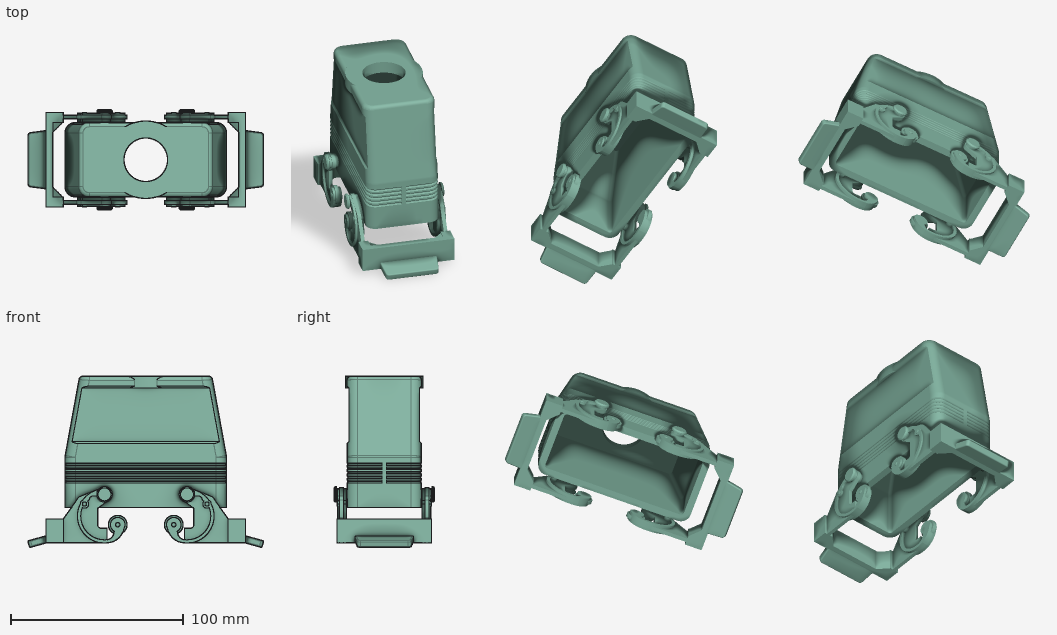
import cadquery as cq
import math

hood_half_length = 46.7
hood_top_half_length = 38.3
hood_half_width = 21.5
hood_height = 76.0
taper_start = 29.6
taper_blend_radius = 6.0
corner_radius = 6.0
top_edge_radius = 2.5
wall = 4.1
rim_height = 7.0
rim_bottom = hood_height - rim_height

entry_radius = 12.5
entry_boss_radius = 22.5

recess_bottom = 37.1
recess_depth = 1.1

groove_count = 5
groove_row_height = 10.1
groove_pitch = groove_row_height / (groove_count - 1)
groove_bottom = 14.3
groove_depth = 0.75
groove_bridge = 2.6

frame_outer = 57.8
frame_inner = 47.7
bar_thickness = 4.1
frame_half_width = 27.4
frame_inner_half_width = 21.7
frame_top = -6.5
frame_bottom = -20.5
gusset_size = 5.7
gusset_drop = 0.7

plate_inner = 23.6
plate_outer = 25.8
cheek_inner = 21.8
cheek_outer = 27.0
pin_x, pin_z = -23.9, 7.6
hook_x, hook_z = pin_x, -4.9
hook_radius = 15.7
hook_inner_radius = 13.8
plate_hub_radius = 4.1
cheek_hub_radius = 3.4
knob_x, knob_z = -16.2, -10.0
plate_knob_radius = 5.5
cheek_knob_radius = 4.2
hook_outer_end_angle = 288
hook_inner_start_angle = 277
hook_inner_end_angle = 152
hook_middle_angle = 200
knob_blend_angle = -30
tail_notch = (-18.4, -14.5)
tail_inner_bend = (-19.0, -16.2)
tail_outer_bend = (-15.3, -17.3)
lug_fillet_start = (-32.7, 4.5)
lug_fillet_bend = (-32.0, 6.0)
pin_shelf_z = 6.7
pin_shelf_start = -30.4

shoulder_start = (-40.0, 4.4)
shoulder_bend = (-39.0, 5.7)
shoulder_end = (-37.3, 6.7)
hub_shoulder_angle = 114
hub_slot_angle = -54
slot_x = -27.7
slot_mouth_z = -0.4
slot_floor = -11.9
slot_lip_x = -22.4
slot_corner_radius = 1.6

pin_radius = 2.6
pin_head_radius = 4.5
pin_head_start = 27.5
pin_head_end = 29.0
pin_head_bevel = 0.75
pin_root = hood_half_width - 1.4
rivet_x, rivet_z = -35.5, 2.0
rivet_radius = 1.3
rivet_end = 27.4
rivet_edge_radius = 0.34
rivet_lug_radius = 2.5

tab_top = -16.4
tab_angle = 15.5
tab_length = 10.9
tab_root_half_width = 17.2
tab_tip_half_width = 15.5
tab_thickness = 4.1
tab_corner_radius = 1.9
tab_edge_radius = 0.7
tab_embed = 2.0


def tapered_block(inset, height, radius):
    """Hood-shaped block, inset from the outer faces and with rounded corners."""
    slope = (hood_half_length - hood_top_half_length) / (hood_height - taper_start)
    base = hood_half_length - inset
    top = base - slope * (height - taper_start)
    half_width = hood_half_width - inset
    block = (
        cq.Workplane("XZ", origin=(0, half_width, 0))
        .polyline([
            (-base, 0),
            (base, 0),
            (base, taper_start),
            (top, height),
            (-top, height),
            (-base, taper_start),
        ])
        .close()
        .extrude(2 * half_width)
    )
    for side in (-1, 1):
        taper_edge = cq.selectors.NearestToPointSelector((side * base, 0, taper_start))
        block = block.edges(taper_edge).fillet(taper_blend_radius)
    return block.edges("not(|X or |Y)").fillet(radius)


def side_recess():
    """Slab with sloping ends that recesses the -Y broad side."""
    floor = -hood_half_width + recess_depth
    outside = -hood_half_width - recess_depth
    return (
        cq.Workplane("YZ", origin=(-hood_half_length, 0, 0))
        .polyline([
            (outside, recess_bottom - recess_depth),
            (floor, recess_bottom + recess_depth),
            (floor, rim_bottom),
            (outside, rim_bottom + 2 * recess_depth),
        ])
        .close()
        .extrude(2 * hood_half_length)
    )


def rounded_section(inset, z):
    """Rounded rectangular section of the hood at height z."""
    return (
        cq.Workplane("XY", origin=(0, 0, z))
        .sketch()
        .rect(2 * (hood_half_length - inset), 2 * (hood_half_width - inset))
        .vertices()
        .fillet(corner_radius - inset)
        .finalize()
    )


def groove(z):
    """Ring cutter for one V-groove with 45 degree flanks, its lower lip at height z."""
    margin = 1.4
    half_length = hood_half_length + margin
    half_width = hood_half_width + margin
    lower_lip = cq.Workplane("XY", origin=(0, 0, z))
    ring = lower_lip.rect(2 * half_length, 2 * half_width).extrude(2 * groove_depth)
    bridge = lower_lip.rect(2 * half_length, groove_bridge).extrude(2 * groove_depth)
    waist = rounded_section(groove_depth, z + groove_depth)
    lower_flank = waist.extrude(-groove_depth, taper=-45)
    upper_flank = waist.extrude(groove_depth, taper=-45)
    return ring.cut(lower_flank).cut(upper_flank).cut(bridge)


def make_hood():
    hood = tapered_block(0, hood_height, corner_radius)
    hood = hood.faces(">Z").edges().fillet(top_edge_radius)
    recess = side_recess()
    hood = hood.cut(recess).cut(recess.mirror("XZ"))
    boss = cq.Workplane("XY", origin=(0, 0, rim_bottom)).circle(entry_boss_radius).extrude(rim_height)
    hood = hood.union(boss)
    for index in range(groove_count):
        hood = hood.cut(groove(groove_bottom + index * groove_pitch))
    hood = hood.cut(tapered_block(wall, rim_bottom, corner_radius - wall))
    entry = cq.Workplane("XY", origin=(0, 0, rim_bottom)).circle(entry_radius).extrude(rim_height)
    return hood.cut(entry)


def side_plane(distance):
    """Sketch plane parallel to the -Y side, at the given distance from the centre."""
    return cq.Workplane("XZ", origin=(0, -distance, 0))


def disc(x, z, radius, start, end):
    return side_plane(start).center(x, z).circle(radius).extrude(end - start)


def polar(x, z, radius, degrees):
    angle = math.radians(degrees)
    return (x + radius * math.cos(angle), z + radius * math.sin(angle))


def hook(start, end, hub_radius, knob_radius):
    """Crescent from the pin hub round to the free knob at its tail."""
    crescent = (
        side_plane(start)
        .moveTo(*polar(hook_x, hook_z, hook_radius, 90))
        .threePointArc(
            polar(hook_x, hook_z, hook_radius, hook_middle_angle),
            polar(hook_x, hook_z, hook_radius, hook_outer_end_angle),
        )
        .threePointArc(tail_outer_bend, polar(knob_x, knob_z, cheek_knob_radius, knob_blend_angle))
        .lineTo(knob_x, knob_z)
        .lineTo(*tail_notch)
        .threePointArc(tail_inner_bend, polar(hook_x, hook_z, hook_inner_radius, hook_inner_start_angle))
        .threePointArc(
            polar(hook_x, hook_z, hook_inner_radius, hook_middle_angle),
            polar(hook_x, hook_z, hook_inner_radius, hook_inner_end_angle),
        )
        .lineTo(*lug_fillet_start)
        .threePointArc(lug_fillet_bend, (pin_shelf_start, pin_shelf_z))
        .lineTo(pin_x, pin_shelf_z)
        .close()
        .extrude(end - start)
    )
    hub = disc(pin_x, pin_z, hub_radius, start, end)
    knob = disc(knob_x, knob_z, knob_radius, start, end)
    return crescent.union(hub).union(knob)


def cheek(start, end):
    lug = disc(rivet_x, rivet_z, rivet_lug_radius, start, end)
    return hook(start, end, cheek_hub_radius, cheek_knob_radius).union(lug)


def side_plate():
    """Web that joins the frame to the pin, with the open slot for the locking peg."""
    web = (
        side_plane(plate_inner)
        .moveTo(-frame_inner, frame_bottom)
        .lineTo(-frame_inner, frame_top)
        .lineTo(*shoulder_start)
        .threePointArc(shoulder_bend, shoulder_end)
        .lineTo(*polar(pin_x, pin_z, plate_hub_radius, hub_shoulder_angle))
        .lineTo(*polar(pin_x, pin_z, plate_hub_radius, hub_slot_angle))
        .lineTo(slot_x, slot_mouth_z)
        .lineTo(slot_x, slot_floor + slot_corner_radius)
        .radiusArc((slot_x + slot_corner_radius, slot_floor), -slot_corner_radius)
        .lineTo(slot_lip_x, slot_floor)
        .lineTo(slot_lip_x, hook_z - hook_inner_radius)
        .lineTo(hook_x, frame_bottom)
        .close()
        .extrude(plate_outer - plate_inner)
    )
    return web.union(hook(plate_inner, plate_outer, plate_hub_radius, plate_knob_radius))


def pivot_pin():
    shank = disc(pin_x, pin_z, pin_radius, pin_root, pin_head_start)
    head = disc(pin_x, pin_z, pin_head_radius, pin_head_start, pin_head_end)
    return shank.union(head.faces("<Y").chamfer(pin_head_bevel))


def rivet(x, z):
    shank = disc(x, z, rivet_radius, plate_outer, rivet_end)
    return shank.faces("<Y").edges().fillet(rivet_edge_radius)


def frame_arm():
    """Half of the U-shaped frame: half the bar, one arm and its gusset."""
    height = frame_top - frame_bottom
    bar_inner = frame_outer - bar_thickness
    bracket = (
        cq.Workplane("XY", origin=(0, 0, frame_bottom))
        .polyline([
            (-frame_outer, 0),
            (-frame_outer, -frame_half_width),
            (-frame_inner, -frame_half_width),
            (-frame_inner, -frame_inner_half_width),
            (-bar_inner, -frame_inner_half_width),
            (-bar_inner, 0),
        ])
        .close()
        .extrude(height)
    )
    gusset = (
        cq.Workplane("XY", origin=(0, 0, frame_bottom))
        .polyline([
            (-bar_inner, -frame_inner_half_width),
            (-bar_inner + gusset_size, -frame_inner_half_width),
            (-bar_inner, -frame_inner_half_width + gusset_size),
        ])
        .close()
        .extrude(height - gusset_drop)
    )
    return bracket.union(gusset)


def finger_tab():
    tab = (
        cq.Workplane("XY")
        .polyline([
            (tab_embed, tab_root_half_width),
            (tab_embed, -tab_root_half_width),
            (-tab_length, -tab_tip_half_width),
            (-tab_length, tab_tip_half_width),
        ])
        .close()
        .extrude(-tab_thickness)
    )
    tab = tab.edges("|Z and <X").fillet(tab_corner_radius)
    tab = tab.faces(">Z or <Z").edges("not >X").fillet(tab_edge_radius)
    return tab.rotate((0, 0, 0), (0, 1, 0), -tab_angle).translate((-frame_outer, 0, tab_top))


def make_lever():
    """Complete lever on the -X end: two hooked sides joined by the bar and tab."""
    side = frame_arm().union(side_plate())
    side = side.union(cheek(cheek_inner, plate_inner))
    side = side.union(cheek(plate_outer, cheek_outer))
    side = side.union(pivot_pin())
    side = side.union(rivet(rivet_x, rivet_z)).union(rivet(knob_x, knob_z))
    return side.union(side.mirror("XZ")).union(finger_tab())


lever = make_lever()
result = make_hood().union(lever).union(lever.mirror("YZ"))